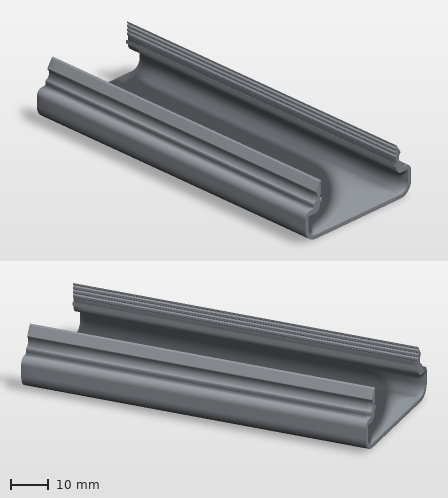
import cadquery as cq
import math

length = 100.0
width = 40.0
height = 16.8
wall = 1.2

bottom_radius = 4.0
shoulder_radius = 2.0
shoulder_top = 9.2
shoulder_underside = 7.7

leg_outer_depth = 3.2
leg_inner_depth = 5.6
leg_root_fillet = 0.4
leg_underside_radius = 2.0
neck_break_bottom = 10.4
neck_bottom_depth = 3.3
neck_bottom = 10.7
neck_depth = 4.6
neck_middle = 12.3

barb_root_depth = 4.1
barb_nose_depth = 4.0
barb_top = 14.2
barb_bottom = 13.7

tip_rise = 0.3
tip_start_depth = 5.5

tooth_count = 3
tooth_pitch = 1.2
tooth_crest_flat = 0.6
top_valley = 16.0
tooth_crest_depth = 6.0

ledge_depth = 6.3
ledge_bottom = 10.3
ledge_root_top = 11.0
ledge_edge_top = 11.4

DIAGONAL = math.sqrt(0.5)
side = -width / 2


def at(depth, z):
    """Profile point given by its depth inward from the -Y side face and its height."""
    return (side + depth, z)


def arc_middle(center_depth, center_z, radius, depth_sign, z_sign):
    """Middle point of a quarter arc whose bisector points along the given signs."""
    reach = radius * DIAGONAL
    return at(center_depth + depth_sign * reach, center_z + z_sign * reach)


def trough_outside(path):
    """From the underside centre, round the bottom corner and up to the shoulder."""
    r = bottom_radius
    path = path.lineTo(*at(r, 0))
    path = path.threePointArc(arc_middle(r, r, r, -1, -1), at(0, r))
    r = shoulder_radius
    path = path.lineTo(*at(0, shoulder_top - r))
    return path.threePointArc(arc_middle(r, shoulder_top - r, r, -1, 1), at(r, shoulder_top))


def leg_outside(path):
    """From the shoulder up past the concave neck and barb to the sloped tip."""
    r = leg_root_fillet
    root_depth = leg_outer_depth - r
    path = path.lineTo(*at(root_depth, shoulder_top))
    root_middle = arc_middle(root_depth, shoulder_top + r, r, 1, -1)
    path = path.threePointArc(root_middle, at(leg_outer_depth, shoulder_top + r))
    path = path.lineTo(*at(leg_outer_depth, neck_break_bottom))
    path = path.lineTo(*at(neck_bottom_depth, neck_bottom))
    path = path.threePointArc(at(neck_depth, neck_middle), at(barb_root_depth, barb_bottom))
    barb_nose = at(barb_nose_depth, (barb_bottom + barb_top) / 2)
    path = path.threePointArc(barb_nose, at(barb_root_depth, barb_top))
    path = path.lineTo(*at(tip_start_depth, height - tip_rise))
    return path.lineTo(*at(tooth_crest_depth, height))


def leg_inside(path):
    """From the tip down the serrations and the ledge to the shoulder underside."""
    flank_height = (tooth_pitch - tooth_crest_flat) / 2
    path = path.lineTo(*at(tooth_crest_depth, top_valley + flank_height))
    path = path.lineTo(*at(leg_inner_depth, top_valley))
    for index in range(tooth_count):
        tooth_top = top_valley - index * tooth_pitch
        tooth_bottom = tooth_top - tooth_pitch
        path = path.lineTo(*at(tooth_crest_depth, tooth_top - flank_height))
        path = path.lineTo(*at(tooth_crest_depth, tooth_bottom + flank_height))
        path = path.lineTo(*at(leg_inner_depth, tooth_bottom))
    path = path.lineTo(*at(leg_inner_depth, ledge_root_top))
    path = path.lineTo(*at(ledge_depth, ledge_edge_top))
    path = path.lineTo(*at(ledge_depth, ledge_bottom))
    path = path.lineTo(*at(leg_inner_depth, ledge_bottom))
    r = leg_underside_radius
    center_depth = leg_inner_depth - r
    center_z = shoulder_underside + r
    path = path.lineTo(*at(leg_inner_depth, center_z))
    underside_middle = arc_middle(center_depth, center_z, r, 1, -1)
    return path.threePointArc(underside_middle, at(center_depth, shoulder_underside))


def trough_inside(path):
    """From the shoulder underside down the inner wall and along the floor."""
    inner_radius = bottom_radius - wall
    path = path.lineTo(*at(wall, shoulder_underside))
    path = path.lineTo(*at(wall, bottom_radius))
    corner_middle = arc_middle(bottom_radius, bottom_radius, inner_radius, -1, -1)
    path = path.threePointArc(corner_middle, at(bottom_radius, wall))
    return path.lineTo(0, wall)


profile = cq.Workplane("YZ").workplane(offset=-length / 2).moveTo(0, 0)
for trace in (trough_outside, leg_outside, leg_inside, trough_inside):
    profile = trace(profile)

half_channel = profile.close().extrude(length)
result = half_channel.union(half_channel.mirror("XZ")).clean()